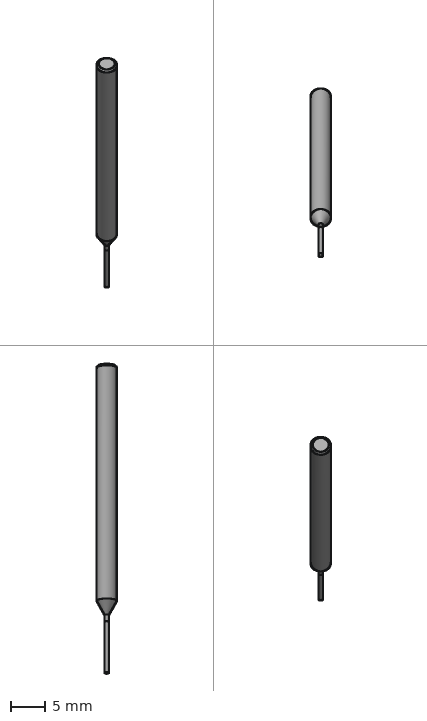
import cadquery as cq

total_length = 46.0
cutter_length = 7.77
neck_length = 1.0
taper_length = 2.1
point_height = 0.2

shank_diameter = 3.0
cutter_diameter = 0.7
neck_diameter = cutter_diameter

shank_chamfer = 0.3


def revolve_about_axis(half_profile):
    """Revolve a closed (radius, height) outline about the Z axis."""
    return cq.Workplane("XZ").polyline(half_profile).close().revolve(360, (0, 0), (0, 1))


def make_cutter():
    """Slim cylindrical cutting end with a conical point."""
    radius = cutter_diameter / 2
    return revolve_about_axis([
        (0, 0),
        (radius, point_height),
        (radius, cutter_length),
        (0, cutter_length),
    ])


def make_shank():
    """Chamfered shank that tapers down to a short neck above the cutter."""
    shank_radius = shank_diameter / 2
    neck_radius = neck_diameter / 2
    taper_bottom = cutter_length + neck_length
    taper_top = taper_bottom + taper_length
    return revolve_about_axis([
        (0, cutter_length),
        (neck_radius, cutter_length),
        (neck_radius, taper_bottom),
        (shank_radius, taper_top),
        (shank_radius, total_length - shank_chamfer),
        (shank_radius - shank_chamfer, total_length),
        (0, total_length),
    ])


cutter = make_cutter()
shank = make_shank()

result = cq.Compound.makeCompound([cutter.val(), shank.val()])